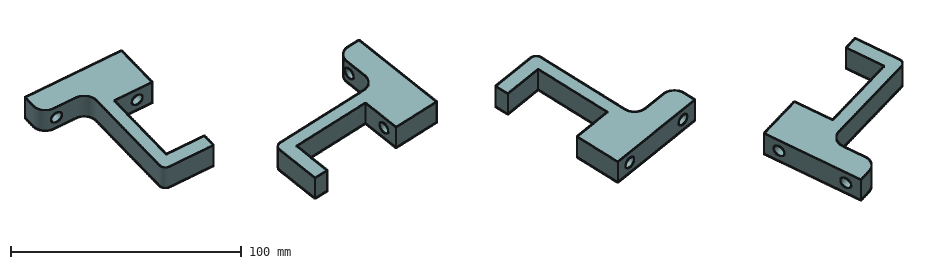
import cadquery as cq

length = 70.55
depth = 50.8
thickness = 12.7

block_width = 23.6
leg_width = 12.7
leg_radius = 6.35

slot_depth = 20.0
arm_width = 6.35
hook_width = 7.1
hook_corner_radius = 3.175

hole_diameter = 5.65
hole_edge_distance = 7.9375

arm_top = depth - slot_depth
arm_bottom = arm_top - arm_width
hook_inner = length - hook_width


def make_body():
    """Extrude the hook profile, then round its vertical edges."""
    profile = [
        (0, 0),
        (leg_width, 0),
        (leg_width, arm_bottom),
        (length, arm_bottom),
        (length, depth),
        (hook_inner, depth),
        (hook_inner, arm_top),
        (block_width, arm_top),
        (block_width, depth),
        (0, depth),
    ]
    body = cq.Workplane("XY").polyline(profile).close().extrude(thickness)
    body = round_edge(body, leg_width, 0, leg_radius)
    body = round_edge(body, leg_width, arm_bottom, leg_radius)
    return round_edge(body, length, arm_bottom, hook_corner_radius)


def round_edge(body, x, y, radius):
    """Fillet the vertical edge that stands at (x, y)."""
    edge_middle = (x, y, thickness / 2)
    return body.edges(cq.selectors.NearestToPointSelector(edge_middle)).fillet(radius)


def make_screw_hole(y):
    """Cylinder along X that crosses the block and leg but stops short of the hook."""
    hole = cq.Workplane("YZ").center(y, thickness / 2)
    return hole.circle(hole_diameter / 2).extrude(block_width)


result = make_body()
for hole_y in (hole_edge_distance, depth - hole_edge_distance):
    result = result.cut(make_screw_hole(hole_y))